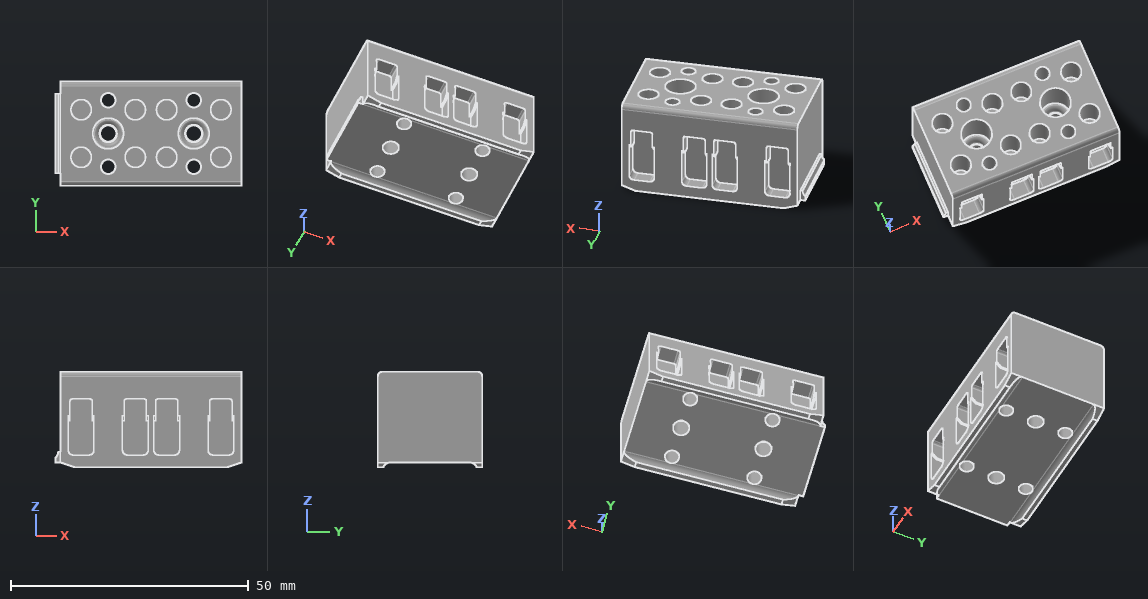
import cadquery as cq
import math

LENGTH = 38.1
WIDTH = 22.0
HEIGHT = 20.15
TOP_EDGE_RADIUS = 1.0

FOOT_HEIGHT = 1.0
FOOT_WIDTH = 1.2
FOOT_ROOT_RADIUS = 1.45
FOOT_END_RAMP = 3.0

LIP_REACH = 1.05
LIP_TOP_REACH = 0.5
LIP_LENGTH = 16.8
LIP_TOP = 3.3
LIP_NOSE_TOP = 2.05

GROUP_PITCH = 18.0
SCREW_BORE_DIAMETER = 3.4
SCREW_NECK_DIAMETER = 3.7
SCREW_NECK_DEPTH = 2.0
SCREW_SEAT_RADIUS = 1.1
SCREW_HEAD_DIAMETER = 6.5
SCREW_HEAD_DEPTH = 10.0
PIN_HOLE_DIAMETER = 3.0
PIN_HOLE_OFFSET_Y = 7.0
SOCKET_DIAMETER = 4.3
SOCKET_DEPTH = 10.0
SOCKET_OFFSET_X = 5.7
SOCKET_OFFSET_Y = 5.0

WINDOW_DEPTH = 3.2
WINDOW_BOTTOM = 2.6
WINDOW_TOP = 14.4
WINDOW_WIDTH = 5.4
WINDOW_NECK_WIDTH = 4.7
WINDOW_BOTTOM_RADIUS = 1.0
WINDOW_TOP_RADIUS = 0.5
SHOULDER_INNER_Z = 9.85
SHOULDER_OUTER_Z = 10.9
SHOULDER_RAMP = 1.1

GROUP_CENTRES = [-GROUP_PITCH / 2, GROUP_PITCH / 2]
SIDES = [-1, 1]


def make_block():
    """Extrude the side outline, then round the two long top edges."""
    half_length = LENGTH / 2
    foot_half_length = half_length - FOOT_END_RAMP
    outline = (
        cq.Workplane("XZ", origin=(0, WIDTH / 2, 0))
        .moveTo(-foot_half_length, 0)
        .lineTo(foot_half_length, 0)
        .lineTo(half_length, FOOT_HEIGHT)
        .lineTo(half_length, HEIGHT)
        .lineTo(-half_length, HEIGHT)
        .lineTo(-half_length, FOOT_HEIGHT)
        .close()
    )
    return outline.extrude(WIDTH).edges("|X and >Z").fillet(TOP_EDGE_RADIUS)


def make_underside_channel():
    """Channel between the feet; its upper corners are arcs tangent to the ceiling."""
    foot_inner = WIDTH / 2 - FOOT_WIDTH
    arc_centre_z = FOOT_HEIGHT - FOOT_ROOT_RADIUS
    arc_centre_y = foot_inner - math.sqrt(FOOT_ROOT_RADIUS**2 - arc_centre_z**2)
    return (
        cq.Workplane("YZ", origin=(-LENGTH / 2, 0, 0))
        .moveTo(-foot_inner, 0)
        .lineTo(foot_inner, 0)
        .radiusArc((arc_centre_y, FOOT_HEIGHT), -FOOT_ROOT_RADIUS)
        .lineTo(-arc_centre_y, FOOT_HEIGHT)
        .radiusArc((-foot_inner, 0), -FOOT_ROOT_RADIUS)
        .close()
        .extrude(LENGTH)
    )


def make_lip():
    """Latch lip with a hollow upper face that starts vertical and curves outwards."""
    end_x = -LENGTH / 2
    hollow_run = LIP_REACH - LIP_TOP_REACH
    hollow_drop = LIP_TOP - LIP_NOSE_TOP
    hollow_radius = (hollow_run**2 + hollow_drop**2) / (2 * hollow_run)
    return (
        cq.Workplane("XZ", origin=(0, LIP_LENGTH / 2, 0))
        .moveTo(end_x, FOOT_HEIGHT)
        .lineTo(end_x, LIP_TOP)
        .lineTo(end_x - LIP_TOP_REACH, LIP_TOP)
        .radiusArc((end_x - LIP_REACH, LIP_NOSE_TOP), hollow_radius)
        .lineTo(end_x - LIP_REACH, FOOT_HEIGHT)
        .close()
        .extrude(LIP_LENGTH)
    )


def make_hole(x, y, diameter, depth):
    """Cylinder reaching down from the top face."""
    return cq.Workplane("XY", origin=(x, y, HEIGHT - depth)).circle(diameter / 2).extrude(depth)


def make_screw_hole(x):
    """Counterbored screw hole whose seat is rounded into the neck above the bore."""
    bore_radius = SCREW_BORE_DIAMETER / 2
    neck_radius = SCREW_NECK_DIAMETER / 2
    head_radius = SCREW_HEAD_DIAMETER / 2
    seat_z = HEIGHT - SCREW_HEAD_DEPTH
    neck_z = seat_z - SCREW_NECK_DEPTH
    half_section = (
        cq.Workplane("XZ")
        .moveTo(0, 0)
        .lineTo(bore_radius, 0)
        .lineTo(bore_radius, neck_z)
        .lineTo(neck_radius, neck_z)
        .lineTo(neck_radius, seat_z - SCREW_SEAT_RADIUS)
        .radiusArc((neck_radius + SCREW_SEAT_RADIUS, seat_z), SCREW_SEAT_RADIUS)
        .lineTo(head_radius, seat_z)
        .lineTo(head_radius, HEIGHT)
        .lineTo(0, HEIGHT)
        .close()
    )
    return half_section.revolve(360, (0, 0), (0, 1)).translate((x, 0, 0))


def make_window():
    """Window in the -Y side at X = 0: a wide slot with ramped shoulders below a narrow neck."""
    outer_y = -WIDTH / 2
    inner_y = outer_y + WINDOW_DEPTH
    slot = (
        cq.Workplane("YZ", origin=(-WINDOW_WIDTH / 2, 0, 0))
        .moveTo(outer_y, WINDOW_BOTTOM)
        .lineTo(inner_y, WINDOW_BOTTOM)
        .lineTo(inner_y, SHOULDER_INNER_Z)
        .lineTo(outer_y + SHOULDER_RAMP, SHOULDER_INNER_Z)
        .lineTo(outer_y, SHOULDER_OUTER_Z)
        .close()
        .extrude(WINDOW_WIDTH)
        .edges("|Y and <Z")
        .fillet(WINDOW_BOTTOM_RADIUS)
    )
    neck_bottom = WINDOW_BOTTOM + WINDOW_BOTTOM_RADIUS
    neck = (
        cq.Workplane("XY", origin=(0, (outer_y + inner_y) / 2, neck_bottom))
        .rect(WINDOW_NECK_WIDTH, WINDOW_DEPTH)
        .extrude(WINDOW_TOP - neck_bottom)
        .edges("|Y and >Z")
        .fillet(WINDOW_TOP_RADIUS)
    )
    return slot.union(neck)


body = make_block().cut(make_underside_channel()).union(make_lip())

front_window = make_window()
windows = {-1: front_window, 1: front_window.mirror("XZ")}

for group_x in GROUP_CENTRES:
    body = body.cut(make_screw_hole(group_x))
    for side_y in SIDES:
        body = body.cut(make_hole(group_x, side_y * PIN_HOLE_OFFSET_Y, PIN_HOLE_DIAMETER, HEIGHT))
        for side_x in SIDES:
            socket_x = group_x + side_x * SOCKET_OFFSET_X
            body = body.cut(make_hole(socket_x, side_y * SOCKET_OFFSET_Y, SOCKET_DIAMETER, SOCKET_DEPTH))
            body = body.cut(windows[side_y].translate((socket_x, 0, 0)))

result = body